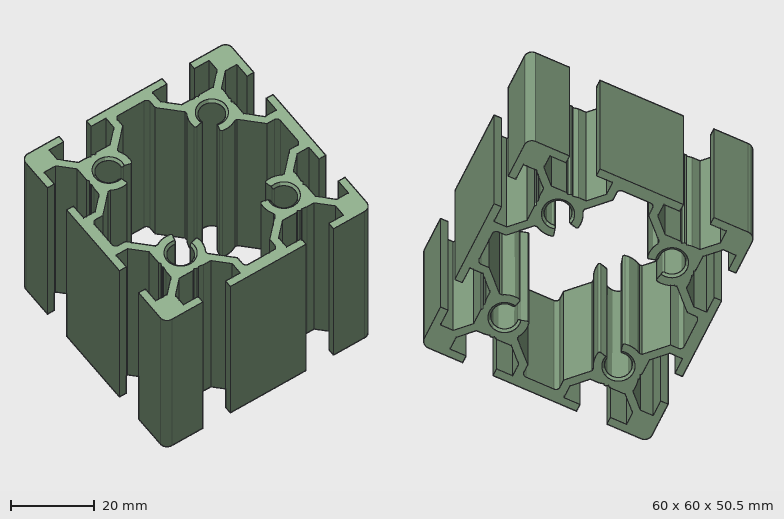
import cadquery as cq
import math

side = 60.0
length = 50.5
half = side / 2
corner_radius = 2.0

slot_offset = side / 4
slot_opening = 8.0
slot_depth = 9.0
lip_thickness = 2.0
chamber_width = 16.5
web_thickness = 2.0

vee_half_width = 0.55
vee_depth = 0.35
ridge_end = 0.95
ramp_start = 1.2
ramp_end = 2.5
ramp_depth = 0.25

cavity_wall = 3.0
cavity_neck_width = 9.4
cavity_fillet = 1.0

boss_radius = 6.0
boss_shoulder = 5.15
bore_radius = 3.3
bore_chamfer = 0.65
mouth_angle = 60.0
mouth_direction = 225.0
outer_tip_fillet = 0.5
inner_tip_fillet = 0.4

web_span = web_thickness * math.sqrt(2)
floor_half_width = slot_offset - slot_depth - web_span / 2


def four_turns(solid):
    """Return the solid repeated at quarter turns about the profile axis."""
    copies = solid
    for turn in range(1, 4):
        copies = copies.union(solid.rotate((0, 0, 0), (0, 0, 1), 90 * turn))
    return copies


def make_slot(centre):
    """T-slot open towards +Y, with a ramp and a V groove in its floor."""
    floor = half - slot_depth
    chamber_half = chamber_width / 2
    shoulder = floor + chamber_half - floor_half_width
    under_lip = half - lip_thickness
    opening_half = slot_opening / 2
    outline = [
        (-opening_half, half),
        (-opening_half, under_lip),
        (-chamber_half, under_lip),
        (-chamber_half, shoulder),
        (-floor_half_width, floor),
        (-ramp_end, floor),
        (-ramp_start, floor - ramp_depth),
        (-ridge_end, floor),
        (-vee_half_width, floor),
        (0, floor - vee_depth),
        (vee_half_width, floor),
        (floor_half_width, floor),
        (chamber_half, shoulder),
        (chamber_half, under_lip),
        (opening_half, under_lip),
        (opening_half, half),
    ]
    return cq.Workplane("XY").polyline(outline).close().extrude(length).translate((centre, 0, 0))


def make_cavity():
    """Cross-shaped cavity whose inner corners are cut off by the diagonal webs."""
    reach = half - cavity_wall
    neck = cavity_neck_width / 2
    web_sum = slot_offset - floor_half_width + half - slot_depth - web_span
    bend = web_sum - neck
    arm = (
        cq.Workplane("XY")
        .polyline([(0, 0), (bend, -neck), (reach, -neck), (reach, neck), (bend, neck), (neck, bend)])
        .close()
        .extrude(length)
        .edges("|Z and >X")
        .fillet(cavity_fillet)
    )
    return four_turns(arm)


def make_boss():
    """Boss around a screw channel in the +X +Y corner, open towards the profile axis."""
    mouth_reach = 2 * boss_radius
    mouth_half = mouth_reach * math.tan(math.radians(mouth_angle / 2))
    mouth = (
        cq.Workplane("XY")
        .polyline([(0, 0), (mouth_reach, -mouth_half), (mouth_reach, mouth_half)])
        .close()
        .extrude(length)
        .rotate((0, 0, 0), (0, 0, 1), mouth_direction)
    )
    shoulder = cq.Workplane("XY").rect(2 * boss_shoulder, 2 * boss_shoulder).extrude(length)
    bore = cq.Workplane("XY").circle(bore_radius).extrude(length)
    bore = bore.rotate((0, 0, 0), (0, 0, 1), mouth_direction)
    boss = cq.Workplane("XY").circle(boss_radius).extrude(length).union(shoulder).cut(mouth).cut(bore)
    tip_angle = math.radians(mouth_direction - mouth_angle / 2)
    for radius, fillet in ((boss_radius, outer_tip_fillet), (bore_radius, inner_tip_fillet)):
        tip_x = radius * math.cos(tip_angle)
        tip_y = radius * math.sin(tip_angle)
        for x, y in ((tip_x, tip_y), (tip_y, tip_x)):
            tip = cq.selectors.NearestToPointSelector((x, y, length / 2))
            boss = boss.edges(tip).fillet(fillet)
    return boss.translate((slot_offset, slot_offset, 0))


def make_bore():
    """Round bore of a screw channel, chamfered at both ends."""
    mouth_radius = bore_radius + bore_chamfer
    outline = [
        (0, 0),
        (mouth_radius, 0),
        (bore_radius, bore_chamfer),
        (bore_radius, length - bore_chamfer),
        (mouth_radius, length),
        (0, length),
    ]
    bore = cq.Workplane("XZ").polyline(outline).close().revolve(360, (0, 0, 0), (0, 1, 0))
    bore = bore.rotate((0, 0, 0), (0, 0, 1), mouth_direction)
    return bore.translate((slot_offset, slot_offset, 0))


block = cq.Workplane("XY").rect(side, side).extrude(length).edges("|Z").fillet(corner_radius)
slots = make_slot(-slot_offset).union(make_slot(slot_offset))

result = (
    block.cut(make_cavity())
    .union(four_turns(make_boss()))
    .cut(four_turns(slots))
    .cut(four_turns(make_bore()))
)